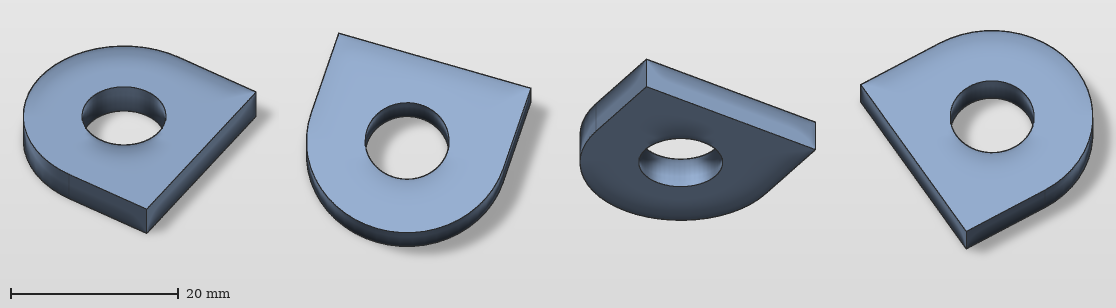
import cadquery as cq

width = 24.02
straight_length = 11.0
thickness = 4.0
hole_diameter = 10.0

end_radius = width / 2

plate = (
    cq.Workplane("XY")
    .moveTo(straight_length, -end_radius)
    .lineTo(straight_length, end_radius)
    .lineTo(0, end_radius)
    .threePointArc((-end_radius, 0), (0, -end_radius))
    .close()
    .extrude(thickness)
)

hole = cq.Workplane("XY").circle(hole_diameter / 2).extrude(thickness)

result = plate.cut(hole)